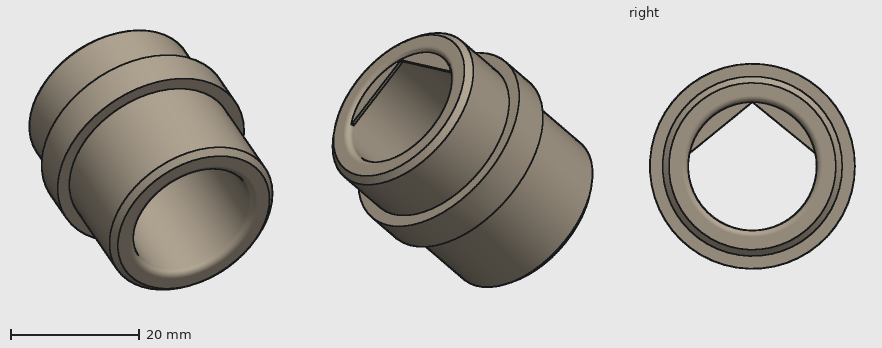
import cadquery as cq
import math

length = 32.0
collar_diameter = 32.0
collar_start = 10.0
collar_width = 6.0
body_diameter = 28.0
bore_diameter = 20.0
end_chamfer = 1.0
mouth_radius = 1.0

web_thickness = 0.48
web_corner_height = 2.0


def cylinder(diameter, start, width):
    """Solid cylinder along X."""
    return cq.Workplane("YZ", origin=(start, 0, 0)).circle(diameter / 2).extrude(width)


def make_bush():
    body = cylinder(body_diameter, 0, length)
    body = body.faces("<X or >X").chamfer(end_chamfer)
    body = body.union(cylinder(collar_diameter, collar_start, collar_width))
    body = body.cut(cylinder(bore_diameter, 0, length))
    bore_edges = cq.selectors.RadiusNthSelector(0)
    return body.faces("<X or >X").edges(bore_edges).fillet(mouth_radius)


def make_mouth_web():
    """Two segments between the bore wall and straight edges that meet at the top."""
    bore_radius = bore_diameter / 2
    corner_y = math.sqrt(bore_radius**2 - web_corner_height**2)
    start = mouth_radius - web_thickness
    disc = cylinder(bore_diameter + 2 * mouth_radius, start, web_thickness)
    opening = (
        cq.Workplane("YZ", origin=(start, 0, 0))
        .moveTo(-corner_y, web_corner_height)
        .lineTo(0, bore_radius)
        .lineTo(corner_y, web_corner_height)
        .threePointArc((0, -bore_radius), (-corner_y, web_corner_height))
        .close()
        .extrude(web_thickness)
    )
    upper_half = cq.Workplane("XY").box(
        length, collar_diameter, collar_diameter, centered=(True, True, False)
    ).translate((0, 0, web_corner_height))
    return disc.cut(opening).intersect(upper_half)


result = make_bush().union(make_mouth_web())